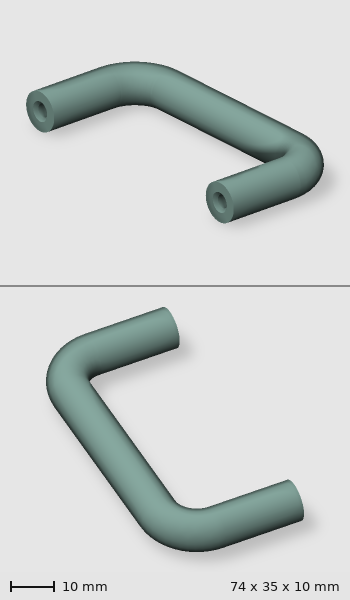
import cadquery as cq

overall_length = 74.0
overall_depth = 35.0
rod_diameter = 10.0
bend_radius = 10.0

hole_diameter = 3.3
mouth_diameter = 5.0
hole_depth = 10.0
drill_point_depth = 0.95

rod_radius = rod_diameter / 2
hole_radius = hole_diameter / 2
mouth_radius = mouth_diameter / 2
mouth_depth = mouth_radius - hole_radius
leg_x = (overall_length - rod_diameter) / 2
grip_y = overall_depth - rod_radius


def make_rod():
    """Round rod swept along a U: leg, bend, grip, bend, leg."""
    bend_start_y = grip_y - bend_radius
    bend_end_x = leg_x - bend_radius
    path = (
        cq.Workplane("XY")
        .moveTo(-leg_x, 0)
        .lineTo(-leg_x, bend_start_y)
        .radiusArc((-bend_end_x, grip_y), bend_radius)
        .lineTo(bend_end_x, grip_y)
        .radiusArc((leg_x, bend_start_y), bend_radius)
        .lineTo(leg_x, 0)
    )
    return cq.Workplane("XZ").center(-leg_x, 0).circle(rod_radius).sweep(path)


def make_hole(x):
    """Revolved cutter for the mounting hole in the leg at x."""
    return (
        cq.Workplane("XY", origin=(x, 0, 0))
        .moveTo(0, 0)
        .lineTo(mouth_radius, 0)
        .lineTo(hole_radius, mouth_depth)
        .lineTo(hole_radius, hole_depth)
        .lineTo(0, hole_depth + drill_point_depth)
        .close()
        .revolve(360, (0, 0, 0), (0, 1, 0))
    )


result = make_rod()
for hole_x in (-leg_x, leg_x):
    result = result.cut(make_hole(hole_x))